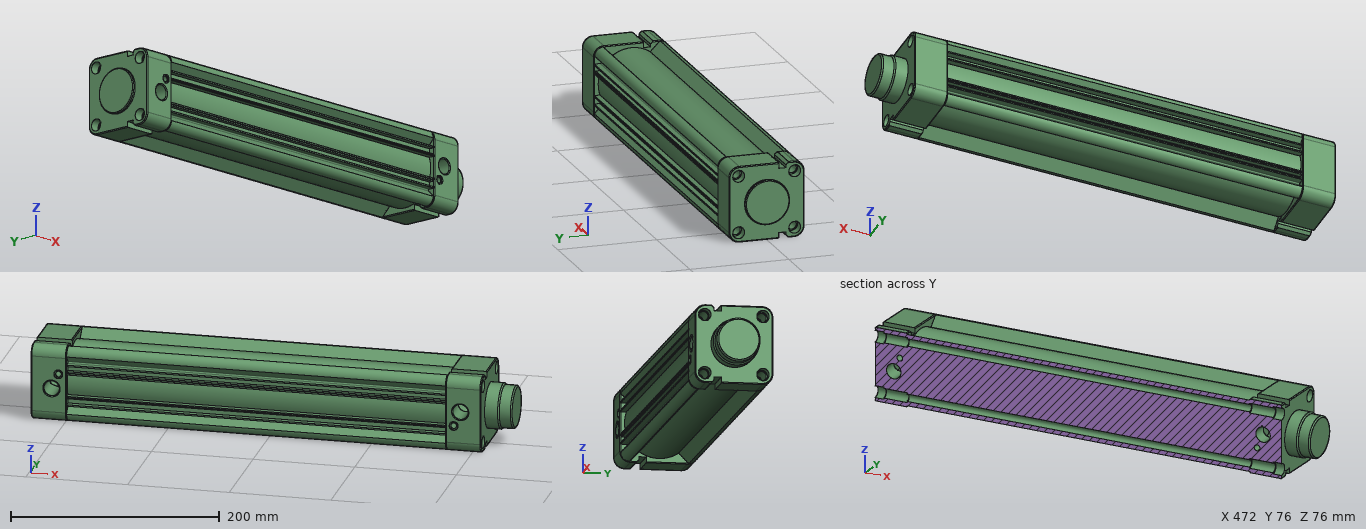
import cadquery as cq

total_length = 472.0
spigot_length = 3.0
cap_length = 35.0
neck_length = 26.5
rear_tube_end = spigot_length + cap_length
front_tube_end = total_length - neck_length - cap_length
tube_length = front_tube_end - rear_tube_end
front_cap_end = total_length - neck_length

cap_size = 76.0
cap_corner_radius = 10.5
cap_edge_chamfer = 1.0
cap_half = cap_size / 2

slot_inner_y = -12.5
slot_outer_y = -19.5
slot_depth = 5.5
slot_bevel = 3.0

spigot_diameter = 45.0
spigot_chamfer = 1.0
collar_diameter = 45.0
collar_length = 14.0
collar_chamfer = 1.5
nose_diameter = 42.0
nose_chamfer = 1.5

tube_setback = 0.5
tube_half = cap_half - tube_setback
tube_corner_radius = 8.5
barrel_radius = 33.5
lobe_tip = tube_half - tube_corner_radius
sensor_lip_outer = 21.0
sensor_groove_outer = 19.5
sensor_groove_inner = 13.5
sensor_step = 12.5
sensor_lip_inner = 11.0
sensor_step_depth = 1.5
sensor_groove_depth = 5.5
valley_fillet = 1.0
rail_depth = tube_half - barrel_radius / 2

tie_rod_offset = 28.5
tie_rod_diameter = 7.0
tie_rod_clearance = 9.5
tie_rod_counterbore = 12.0
counterbore_depth = 9.5

port_diameter = 17.0
port_chamfer = 1.0
port_inset = 14.5
port_height = 4.0
screw_diameter = 8.5
screw_recess_depth = 1.5
screw_hole_diameter = 5.5
screw_inset = 8.0
screw_height = 11.0

chamber_radius = 14.0
chamber_length = 25.5


def along_x(start):
    """Sketch plane across the axis: local x is Y and local y is Z."""
    return cq.Workplane("YZ", origin=(start, 0, 0))


def cylinder(start, length, diameter):
    return along_x(start).circle(diameter / 2).extrude(length)


def side_bar(side, level, depth, lower, upper):
    """Bar as long as the tube, reaching from its side face down to a depth, between two heights."""
    return (
        along_x(rear_tube_end)
        .center(side * (tube_half - depth / 2), level * (lower + upper) / 2)
        .rect(depth, upper - lower)
        .extrude(tube_length)
    )


def add_sensor_rail(tube, side, level):
    """Rail between barrel and corner lobe, with a stepped groove cut into it."""
    valley_y = sensor_lip_outer + tube_half - lobe_tip
    tube = tube.union(side_bar(side, level, rail_depth, sensor_lip_inner, sensor_lip_outer))
    valley_edge = cq.selectors.BoxSelector(
        (0, side * valley_y - valley_fillet, level * sensor_lip_outer - valley_fillet),
        (total_length, side * valley_y + valley_fillet, level * sensor_lip_outer + valley_fillet),
    )
    tube = tube.edges("|X").edges(valley_edge).fillet(valley_fillet)
    groove = side_bar(side, level, sensor_groove_depth, sensor_groove_inner, sensor_groove_outer)
    step = side_bar(side, level, sensor_step_depth, sensor_step, sensor_groove_inner)
    return tube.cut(groove).cut(step)


def make_tube():
    """Barrel with four corner lobes and sensor rails on both Y sides."""
    square = (
        along_x(rear_tube_end)
        .rect(2 * tube_half, 2 * tube_half)
        .extrude(tube_length)
        .edges("|X")
        .fillet(tube_corner_radius)
    )
    valley = (
        along_x(rear_tube_end)
        .polyline([(-lobe_tip, tube_half), (0, tube_half - lobe_tip), (lobe_tip, tube_half)])
        .close()
        .extrude(tube_length)
    )
    for quarter in range(4):
        square = square.cut(valley.rotate((0, 0, 0), (1, 0, 0), 90 * quarter))
    tube = square.union(cylinder(rear_tube_end, tube_length, 2 * barrel_radius))

    for side in (-1, 1):
        for level in (-1, 1):
            tube = add_sensor_rail(tube, side, level)
    return tube


def make_cap(start):
    """Square end cap with rounded corners and two bevelled slots."""
    cap = (
        along_x(start)
        .rect(cap_size, cap_size)
        .extrude(cap_length)
        .edges("|X")
        .fillet(cap_corner_radius)
        .faces("<X or >X")
        .chamfer(cap_edge_chamfer)
    )
    slot_floor = cap_half - slot_depth
    for level in (-1, 1):
        slot = (
            along_x(start)
            .polyline([
                (slot_inner_y, level * cap_half),
                (slot_inner_y, level * slot_floor),
                (slot_outer_y, level * slot_floor),
                (slot_outer_y, level * (cap_half - slot_bevel)),
                (slot_outer_y - slot_bevel, level * cap_half),
            ])
            .close()
            .extrude(cap_length)
        )
        cap = cap.cut(slot)
    return cap


def side_hole(x, z, diameter, depth):
    """Hole drilled into the -Y side, as a solid to be cut away."""
    return cq.Workplane("XZ", origin=(x, -cap_half, z)).circle(diameter / 2).extrude(-depth)


def air_passages(tube_end, outward, level):
    """Chamber, chamfered port and stepped screw hole of one cap."""
    chamber = cylinder(tube_end, outward * chamber_length, 2 * chamber_radius)

    port_x = tube_end + outward * port_inset
    port_z = level * port_height
    port = side_hole(port_x, port_z, port_diameter - 2 * port_chamfer, cap_half)
    mouth = cq.Workplane(
        cq.Solid.makeCone(
            port_diameter / 2,
            port_diameter / 2 - port_chamfer,
            port_chamfer,
            cq.Vector(port_x, -cap_half, port_z),
            cq.Vector(0, 1, 0),
        )
    )

    screw_x = tube_end + outward * screw_inset
    screw_z = -level * screw_height
    recess = side_hole(screw_x, screw_z, screw_diameter, screw_recess_depth)
    screw_hole = side_hole(screw_x, screw_z, screw_hole_diameter, cap_half)
    return chamber.union(port).union(mouth).union(recess).union(screw_hole)


def tie_rod_holes():
    """Holes through tube and caps, wider in the caps and counterbored from both ends."""
    offsets = (-tie_rod_offset, tie_rod_offset)
    corners = [(y, z) for y in offsets for z in offsets]

    def four_rods(start, length, diameter):
        return along_x(start).pushPoints(corners).circle(diameter / 2).extrude(length)

    holes = four_rods(spigot_length, front_cap_end - spigot_length, tie_rod_diameter)
    for mouth, inward in ((spigot_length, 1), (front_cap_end, -1)):
        clearance = four_rods(mouth, inward * cap_length, tie_rod_clearance)
        counterbore = four_rods(mouth, inward * counterbore_depth, tie_rod_counterbore)
        holes = holes.union(clearance).union(counterbore)
    return holes


spigot = cylinder(0, spigot_length, spigot_diameter).faces("<X").chamfer(spigot_chamfer)
collar = cylinder(front_cap_end, collar_length, collar_diameter).faces(">X").chamfer(collar_chamfer)
nose = cylinder(front_cap_end, neck_length, nose_diameter).faces(">X").chamfer(nose_chamfer)

result = (
    make_tube()
    .union(make_cap(spigot_length))
    .union(make_cap(front_tube_end))
    .union(spigot)
    .union(collar)
    .union(nose)
    .cut(tie_rod_holes())
    .cut(air_passages(rear_tube_end, -1, -1))
    .cut(air_passages(front_tube_end, 1, 1))
)